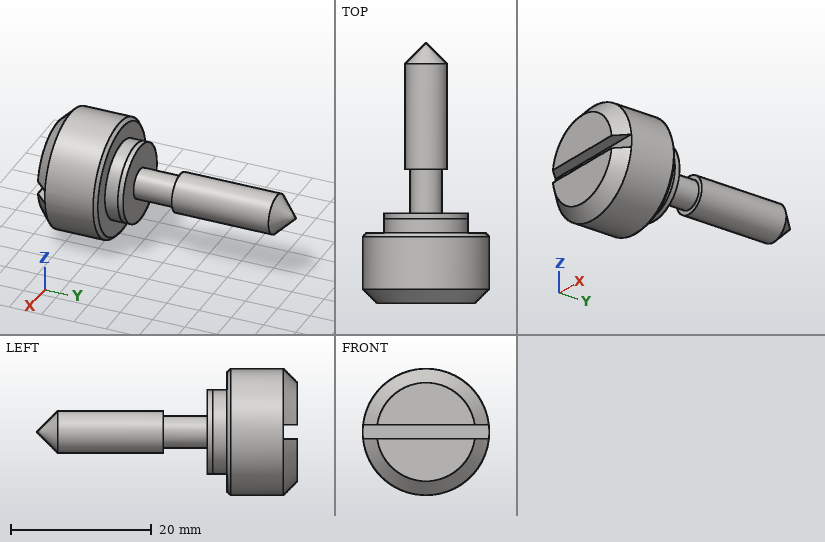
import cadquery as cq

total_length = 37.0

head_diameter = 18.0
head_length = 10.0
front_chamfer = 2.0
rear_chamfer = 0.5
slot_width = 2.0
slot_depth = front_chamfer

collar_diameter = 12.0
collar_length = 2.0
neck_diameter = 4.6
shank_diameter = 6.0
shank_start = 19.0
point_length = shank_diameter / 2

washer_thickness = 0.8

collar_end = head_length + collar_length


def cylinder_along_y(diameter, start, end):
    """Cylinder on the Y axis between two Y positions."""
    return cq.Workplane("XZ", origin=(0, start, 0)).circle(diameter / 2).extrude(start - end)


def make_head():
    """Round head with both rims chamfered and a driver slot across its face."""
    head = cylinder_along_y(head_diameter, 0, head_length)
    head = head.faces("<Y").chamfer(front_chamfer)
    head = head.faces(">Y").chamfer(rear_chamfer)
    slot = cq.Workplane("XY").box(
        head_diameter, slot_depth, slot_width, centered=(True, False, True)
    )
    return head.cut(slot)


def make_shank():
    """Thick end of the screw, tapering to a sharp point."""
    radius = shank_diameter / 2
    return (
        cq.Workplane("XY")
        .moveTo(0, shank_start)
        .lineTo(radius, shank_start)
        .lineTo(radius, total_length - point_length)
        .lineTo(0, total_length)
        .close()
        .revolve(360, (0, 0, 0), (0, 1, 0))
    )


def make_screw():
    """Head, collar, neck and pointed shank as one solid."""
    collar = cylinder_along_y(collar_diameter, head_length, collar_end)
    neck = cylinder_along_y(neck_diameter, collar_end, shank_start)
    return make_head().union(collar).union(neck).union(make_shank())


def make_washer():
    """Flat ring around the neck, seated on the collar."""
    washer_end = collar_end + washer_thickness
    ring = cylinder_along_y(collar_diameter, collar_end, washer_end)
    bore = cylinder_along_y(neck_diameter, collar_end, washer_end)
    return ring.cut(bore)


screw = make_screw()
washer = make_washer()

result = cq.Compound.makeCompound([screw.val(), washer.val()])